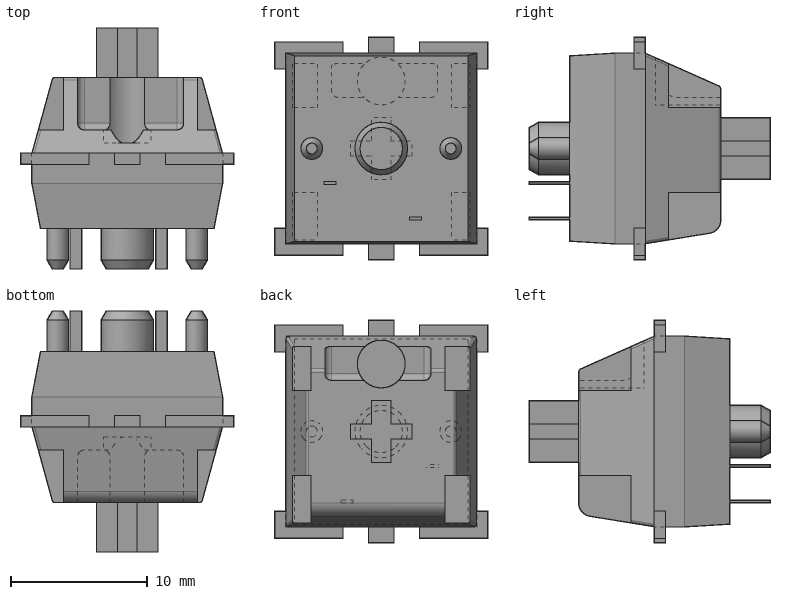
import cadquery as cq


BODY_WIDTH = 14.0
STRAIGHT_DEPTH = 2.23
LOWER_DEPTH = 5.55
BOTTOM_WIDTH_X = 12.73
BOTTOM_WIDTH_Z = 13.6

FLANGE_WIDTH = 15.65
FLANGE_THICKNESS = 0.85
CORNER_LENGTH_X = 5.02
CORNER_LENGTH_Z = 2.0
TAB_WIDTH = 1.9
TAB_SPAN = 16.34

UPPER_HEIGHT = 5.53
UPPER_BASE_WIDTH = 13.97
TOP_HALF_WIDTH_X = 5.46
TOP_EDGE_HIGH_Z = 4.53
TOP_EDGE_LOW_Z = -6.08
EDGE_RADIUS = 0.2
HIGH_EDGE_RADIUS = 0.3
LOW_EDGE_RADIUS = 0.99

TOP_FEATURES_X = 0.25

SHELF_HEIGHT = 1.68
NOTCH_SPAN = 9.83
NOTCH_HIGH_Z = 2.99
NOTCH_LOW_Z = -3.22

POCKET_WIDTH = 7.78
POCKET_FLOOR_Z = 3.75
POCKET_RADIUS = 0.5
BORE_RADIUS = 1.75
BORE_CENTER_Z = 4.95
BORE_END_Y = 0.72

STEM_HEIGHT = 3.62
STEM_SPAN = 4.53
STEM_ARM_X = 1.4
STEM_ARM_Z = 1.13

PIN_LENGTH = 2.97
TIP_LENGTH = 0.67
POST_DIAMETER = 3.85
POST_TIP_DIAMETER = 3.1
LOCATING_PIN_DIAMETER = 1.6
LOCATING_PIN_TIP_DIAMETER = 0.8
LOCATING_PIN_OFFSET = 5.1
CONTACT_WIDTH = 0.87
CONTACT_THICKNESS = 0.2
CONTACT_CENTERS = [(-3.77, -2.53), (2.51, -5.13)]


def block(x_range, y_range, z_range):
    """Box between the given limits on each axis."""
    size_x = x_range[1] - x_range[0]
    size_y = y_range[1] - y_range[0]
    size_z = z_range[1] - z_range[0]
    box = cq.Workplane("XY").box(size_x, size_y, size_z, centered=False)
    return box.translate((x_range[0], y_range[0], z_range[0]))


def centered_block(size_x, y_range, size_z):
    """Box centred on the Y axis."""
    return block((-size_x / 2, size_x / 2), y_range, (-size_z / 2, size_z / 2))


def lower_housing():
    body = centered_block(BODY_WIDTH, (-STRAIGHT_DEPTH, 0), BODY_WIDTH)
    taper = (
        cq.Workplane("XZ", origin=(0, -STRAIGHT_DEPTH, 0))
        .rect(BODY_WIDTH, BODY_WIDTH)
        .workplane(offset=LOWER_DEPTH - STRAIGHT_DEPTH)
        .rect(BOTTOM_WIDTH_X, BOTTOM_WIDTH_Z)
        .loft(ruled=True)
    )
    body = body.union(taper)

    flange_y = (-FLANGE_THICKNESS, 0)
    body = body.union(centered_block(TAB_WIDTH, flange_y, TAB_SPAN))
    outer = FLANGE_WIDTH / 2
    corner = block((outer - CORNER_LENGTH_X, outer), flange_y, (outer - CORNER_LENGTH_Z, outer))
    corner_pair = corner.union(corner.mirror("YZ"))
    return body.union(corner_pair).union(corner_pair.mirror("XY"))


def tapered_block():
    """Common volume of the X-Y outline and the Y-Z outline, with rounded corners."""
    base = UPPER_BASE_WIDTH / 2
    top = TOP_HALF_WIDTH_X
    x_outline = (
        cq.Workplane("XY")
        .polyline([(-base, 0), (base, 0), (top, UPPER_HEIGHT), (-top, UPPER_HEIGHT)])
        .close()
        .extrude(base, both=True)
    )
    z_outline = (
        cq.Workplane("YZ")
        .polyline([(0, -base), (UPPER_HEIGHT, TOP_EDGE_LOW_Z), (UPPER_HEIGHT, TOP_EDGE_HIGH_Z), (0, base)])
        .close()
        .extrude(base, both=True)
    )
    return x_outline.intersect(z_outline).edges("not #Y").fillet(EDGE_RADIUS)


def corner_notches():
    base = UPPER_BASE_WIDTH / 2
    notch_y = (SHELF_HEIGHT, UPPER_HEIGHT)
    notch_x = (NOTCH_SPAN / 2, UPPER_BASE_WIDTH)
    high = block(notch_x, notch_y, (NOTCH_HIGH_Z, base))
    low = block(notch_x, notch_y, (-base, NOTCH_LOW_Z))
    notches = high.union(low)
    return notches.union(notches.mirror("YZ")).translate((TOP_FEATURES_X, 0, 0))


def lamp_pocket():
    """Flat-floored pocket open at the top and +Z side; all its inner edges are rounded."""
    half = POCKET_WIDTH / 2
    tool = block(
        (-half, half),
        (SHELF_HEIGHT, UPPER_HEIGHT + POCKET_RADIUS),
        (POCKET_FLOOR_Z, UPPER_BASE_WIDTH / 2),
    )
    tool = tool.edges("|Z and <Y").fillet(POCKET_RADIUS)
    tool = tool.faces("<Z").edges("not >Y").fillet(POCKET_RADIUS)
    return tool.translate((TOP_FEATURES_X, 0, 0))


def lamp_bore():
    return (
        cq.Workplane("XZ", origin=(0, UPPER_HEIGHT, BORE_CENTER_Z))
        .circle(BORE_RADIUS)
        .extrude(UPPER_HEIGHT - BORE_END_Y)
    )


def upper_housing():
    body = tapered_block().cut(corner_notches())
    body = body.faces(">Y").edges(">X or <X").fillet(EDGE_RADIUS)
    body = body.faces(">Y").edges(">Z").fillet(HIGH_EDGE_RADIUS)
    body = body.faces(">Y").edges("<Z").fillet(LOW_EDGE_RADIUS)
    return body.cut(lamp_pocket()).cut(lamp_bore())


def stem():
    stem_y = (UPPER_HEIGHT, UPPER_HEIGHT + STEM_HEIGHT)
    arm_along_x = centered_block(STEM_SPAN, stem_y, STEM_ARM_Z)
    arm_along_z = centered_block(STEM_ARM_X, stem_y, STEM_SPAN)
    return arm_along_x.union(arm_along_z)


def tapered_pin(x, diameter, tip_diameter):
    """Round pin on the lower housing's bottom face, with a conical tip."""
    tip_end = -LOWER_DEPTH - PIN_LENGTH
    half_profile = (
        cq.Workplane("XY")
        .moveTo(0, -LOWER_DEPTH)
        .lineTo(diameter / 2, -LOWER_DEPTH)
        .lineTo(diameter / 2, tip_end + TIP_LENGTH)
        .lineTo(tip_diameter / 2, tip_end)
        .lineTo(0, tip_end)
        .close()
    )
    return half_profile.revolve(360, (0, 0, 0), (0, 1, 0)).translate((x, 0, 0))


def contact(x, z):
    blade = centered_block(CONTACT_WIDTH, (-LOWER_DEPTH - PIN_LENGTH, -LOWER_DEPTH), CONTACT_THICKNESS)
    return blade.translate((x, 0, z))


center_post = tapered_pin(0, POST_DIAMETER, POST_TIP_DIAMETER)
locating_pins = [
    tapered_pin(x, LOCATING_PIN_DIAMETER, LOCATING_PIN_TIP_DIAMETER)
    for x in (-LOCATING_PIN_OFFSET, LOCATING_PIN_OFFSET)
]
contacts = [contact(x, z) for x, z in CONTACT_CENTERS]

result = cq.Compound.makeCompound([
    lower_housing().val(),
    upper_housing().val(),
    stem().val(),
    center_post.val(),
    *[pin.val() for pin in locating_pins],
    *[blade.val() for blade in contacts],
])